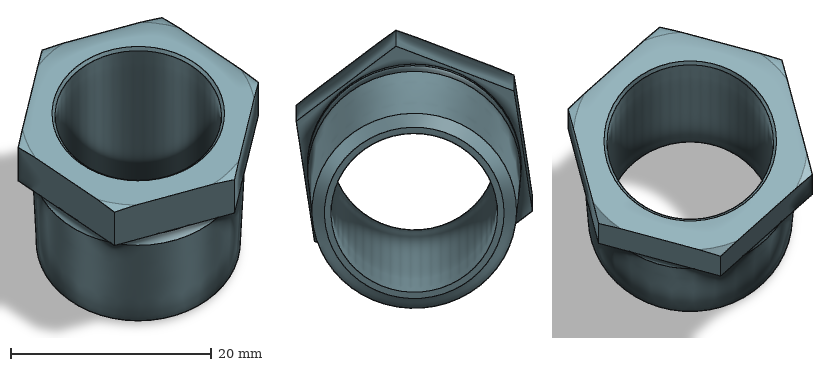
import cadquery as cq
import math

across_corners = 25.4
total_height = 21.0
hex_height = 5.5
hex_top_radius = 11.73
hex_chamfer_angle = 12.0

bore_radius = 8.3
bore_chamfer = 0.3

collar_radius = 10.7
collar_height = 0.5
groove_radius = 9.42
groove_root_radius = 0.25
groove_wall_angle = 30.0

shank_top_radius = 10.65
shank_bottom_radius = 10.2
end_chamfer_width = 1.25
end_chamfer_height = 0.69

hex_bottom = total_height - hex_height
collar_bottom = hex_bottom - collar_height
wall_angle = math.radians(groove_wall_angle)
root_half_height = groove_root_radius * math.cos(wall_angle)
root_edge_radius = groove_radius + groove_root_radius * (1 - math.sin(wall_angle))
root_top = collar_bottom - (collar_radius - root_edge_radius) * math.tan(wall_angle)
root_middle = root_top - root_half_height
root_bottom = root_middle - root_half_height
shank_top = root_bottom - (shank_top_radius - root_edge_radius) * math.tan(wall_angle)


def make_hex_head():
    """Hexagon with corners on X, its upper corners cut by a shallow cone."""
    corner_radius = across_corners / 2
    corner_drop = (corner_radius - hex_top_radius) * math.tan(math.radians(hex_chamfer_angle))
    prism = (
        cq.Workplane("XY")
        .workplane(offset=hex_bottom)
        .polygon(6, across_corners)
        .extrude(hex_height)
    )
    cone_envelope = (
        cq.Workplane("XZ")
        .moveTo(0, hex_bottom)
        .lineTo(corner_radius, hex_bottom)
        .lineTo(corner_radius, total_height - corner_drop)
        .lineTo(hex_top_radius, total_height)
        .lineTo(0, total_height)
        .close()
        .revolve(360, (0, 0, 0), (0, 1, 0))
    )
    return prism.intersect(cone_envelope)


def make_shank():
    """Tapered shank with a round-bottomed V relief groove and a short collar under the head."""
    return (
        cq.Workplane("XZ")
        .lineTo(shank_bottom_radius - end_chamfer_width, 0)
        .lineTo(shank_bottom_radius, end_chamfer_height)
        .lineTo(shank_top_radius, shank_top)
        .lineTo(root_edge_radius, root_bottom)
        .threePointArc((groove_radius, root_middle), (root_edge_radius, root_top))
        .lineTo(collar_radius, collar_bottom)
        .lineTo(collar_radius, hex_bottom)
        .lineTo(0, hex_bottom)
        .close()
        .revolve(360, (0, 0, 0), (0, 1, 0))
    )


def make_bore():
    """Through bore with a chamfered mouth in the head."""
    return (
        cq.Workplane("XZ")
        .lineTo(bore_radius, 0)
        .lineTo(bore_radius, total_height - bore_chamfer)
        .lineTo(bore_radius + bore_chamfer, total_height)
        .lineTo(0, total_height)
        .close()
        .revolve(360, (0, 0, 0), (0, 1, 0))
    )


result = make_hex_head().union(make_shank()).cut(make_bore())